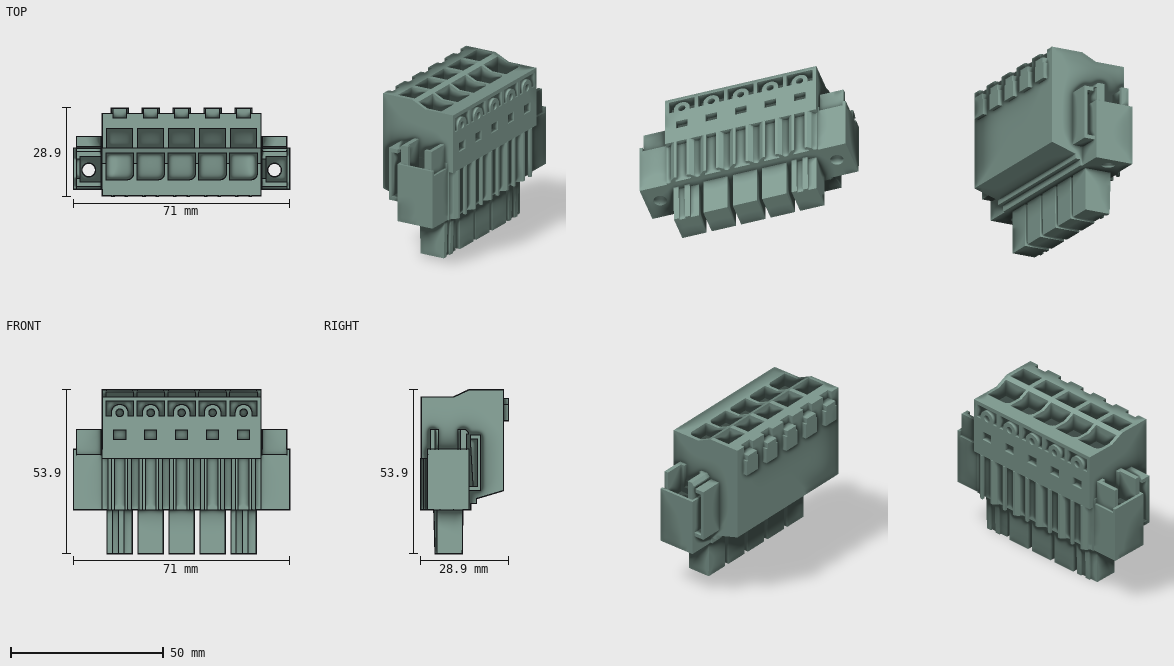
import cadquery as cq

poles = 5
pitch = 10.15
total_length = 71.05
total_depth = 28.9

skirt_bottom = 14.4
skirt_top = 31.35
front_top = 51.5
rear_top = 53.9

tab_rear = total_depth / 2
housing_rear = 12.8
housing_front = -14.3
rib_front = -total_depth / 2
slope_rear = 1.4
slope_front = -3.7

housing_length = 52.15
housing_end = housing_length / 2

underside_rear_z = 20.75
underside_front_y = 3.9
underside_front_z = 18.1
step_z = 16.5
skirt_rear = 2.05

wire_entry_width = 8.5
wire_entry_rear = 7.8
wire_entry_depth = 10.65
screw_pocket_width = 9.1
screw_pocket_rear = -0.2
screw_pocket_front = -9.0
screw_pocket_floor = 46.8
screw_pocket_corner = 2.05

recess_width = 8.95
recess_bottom = 45.3
recess_top = 50.2
recess_depth = 3.55
boss_diameter = 5.5
boss_centre_z = 46.3
boss_hole_diameter = 2.5
boss_hole_depth = 2.85

window_width = 4.0
window_bottom = 37.5
window_top = 40.65
window_depth = 2.0

tongue_width = 4.55
tongue_front = 11.2
tongue_top = 51.0
head_width = 5.7
head_top = 49.1
tab_bottom = 43.7

slot_mouth_width = 3.55
slot_inner_width = 5.4
slot_lip = 1.0
slot_depth = 1.85
rib_width = 0.85
groove_arc_width = 2.35
groove_arc_y = -13.4
groove_floor_y = -12.5

box_rear = 1.4
box_front = -12.15
box_top = 34.4
box_outer_wall = 1.0
box_inner_wall = 0.35
box_floor = 1.0
front_wall_top = 32.6
cavity_rear = 0.6
cavity_front = -11.2
flange_hole_radius = 2.2
flange_hole_y = -5.8

frame_rear = 5.25
frame_inner = 4.2
frame_top = 39.1
frame_bar_top_z = 37.7
frame_bar_bottom_z = 22.2
frame_bottom = 20.9
frame_bar_end = 1.85
frame_web_end = 2.8
frame_web_thickness = 1.0

lug_top = 40.85
insert_floor = 30.55
insert_wall = 1.2
insert_wall_top = 32.6
latch_front = -1.35
latch_rib_front = -2.1
latch_hook_y = 1.3
latch_hook_z = 39.3
latch_chamfer_z = 39.8
latch_chamfer_y = 0.3
lug_rear = -9.8
lug_rib_rear = -8.5

finger_width = 8.4
finger_root_rear = -0.6
finger_tip_rear = -0.7
finger_front = -9.7
coded_root_front = -10.15
coding_slot_back = -9.0
coding_slots = ((-2.4, -0.35), (1.4, finger_width / 2))

pole_positions = [(i - (poles - 1) / 2) * pitch for i in range(poles)]
groove_positions = [(i - poles / 2) * pitch for i in range(poles + 1)]
cavity_outer = total_length / 2 - box_outer_wall
cavity_inner = housing_end + box_inner_wall
cavity_centre = (cavity_outer + cavity_inner) / 2


def block(x0, x1, y0, y1, z0, z1):
    """Box between two opposite corners."""
    return cq.Workplane("XY").box(x1 - x0, y1 - y0, z1 - z0, centered=False).translate((x0, y0, z0))


def centred_block(x, width, y0, y1, z0, z1):
    """Box of a given X width, centred on x."""
    return block(x - width / 2, x + width / 2, y0, y1, z0, z1)


def side_prism(points, x0, x1):
    """Prism with a (y, z) outline, running from x0 to x1."""
    return cq.Workplane("YZ").polyline(points).close().extrude(x1 - x0).translate((x0, 0, 0))


def housing_shell():
    outline = [
        (housing_front, skirt_top),
        (housing_front, front_top),
        (slope_front, front_top),
        (slope_rear, rear_top),
        (housing_rear, rear_top),
        (housing_rear, underside_rear_z),
        (underside_front_y, underside_front_z),
        (underside_front_y, step_z),
        (skirt_rear, step_z),
        (skirt_rear, skirt_bottom),
        (rib_front, skirt_bottom),
        (rib_front, skirt_top),
    ]
    return side_prism(outline, -housing_end, housing_end)


def skirt_slot(x):
    """T-slot up the front of the skirt, wider behind the lips of its two ribs."""
    lip_back = rib_front + slot_lip
    slot_floor = rib_front + slot_depth
    mouth = centred_block(x, slot_mouth_width, rib_front, lip_back, skirt_bottom, skirt_top)
    return mouth.union(centred_block(x, slot_inner_width, lip_back, slot_floor, skirt_bottom, skirt_top))


def skirt_groove(x):
    half_mouth = (pitch - slot_mouth_width) / 2 - rib_width
    half_arc = groove_arc_width / 2
    return (
        cq.Workplane("XY", origin=(x, 0, skirt_bottom))
        .moveTo(-half_mouth, rib_front)
        .lineTo(-half_arc, groove_arc_y)
        .threePointArc((0, groove_floor_y), (half_arc, groove_arc_y))
        .lineTo(half_mouth, rib_front)
        .close()
        .extrude(skirt_top - skirt_bottom)
    )


def wire_entry(x):
    floor = rear_top - wire_entry_depth
    return centred_block(x, wire_entry_width, slope_rear, wire_entry_rear, floor, rear_top)


def screw_pocket(x):
    pocket = centred_block(
        x, screw_pocket_width, screw_pocket_front, screw_pocket_rear, screw_pocket_floor, rear_top
    )
    return pocket.edges("|Z and >X and <Y").fillet(screw_pocket_corner)


def front_recess(x):
    recess_back = housing_front + recess_depth
    recess = centred_block(x, recess_width, housing_front, recess_back, recess_bottom, recess_top)
    legs = centred_block(x, boss_diameter, housing_front, recess_back, recess_bottom, boss_centre_z)
    boss = (
        cq.Workplane("XZ", origin=(x, housing_front, boss_centre_z))
        .circle(boss_diameter / 2)
        .extrude(-recess_depth)
    )
    return recess.cut(legs).cut(boss)


def boss_hole(x):
    return (
        cq.Workplane("XZ", origin=(x, housing_front, boss_centre_z))
        .circle(boss_hole_diameter / 2)
        .extrude(-boss_hole_depth)
    )


def window(x):
    window_back = housing_front + window_depth
    return centred_block(x, window_width, housing_front, window_back, window_bottom, window_top)


def tab_slot(x):
    return centred_block(x, tongue_width, tongue_front, housing_rear, tab_bottom, rear_top)


def finger(x, coded):
    """Tapered finger below the skirt; a coded one has a sloping front with two slots down it."""
    outline = [
        (coded_root_front if coded else finger_front, skirt_bottom),
        (finger_root_rear, skirt_bottom),
        (finger_tip_rear, 0),
        (finger_front, 0),
    ]
    body = side_prism(outline, x - finger_width / 2, x + finger_width / 2)
    if coded:
        for left, right in coding_slots:
            body = body.cut(block(x + left, x + right, coded_root_front, coding_slot_back, 0, skirt_bottom))
    return body


def end_box():
    """Open-topped box on the +X end, with a lowered front wall."""
    shell = block(housing_end, total_length / 2, box_front, box_rear, skirt_bottom, box_top)
    cavity = block(cavity_inner, cavity_outer, cavity_front, cavity_rear, skirt_bottom + box_floor, box_top)
    wall_notch = block(cavity_inner, cavity_outer, box_front, cavity_front, front_wall_top, box_top)
    hole = (
        cq.Workplane("XY", origin=(cavity_centre, flange_hole_y, skirt_bottom))
        .circle(flange_hole_radius)
        .extrude(box_floor)
    )
    return shell.cut(cavity).cut(wall_notch).cut(hole)


def rear_frame():
    """C-shaped frame behind the +X end box, closed by a web with a sloping edge on its inner side."""
    bars = [
        (box_rear, frame_bottom),
        (frame_rear, frame_bottom),
        (frame_rear, frame_top),
        (frame_bar_end, frame_top),
        (frame_bar_end, frame_bar_top_z),
        (frame_inner, frame_bar_top_z),
        (frame_inner, frame_bar_bottom_z),
        (box_rear, frame_bar_bottom_z),
    ]
    web = [
        (frame_inner, frame_bar_bottom_z),
        (frame_inner, frame_bar_top_z),
        (frame_bar_end, frame_bar_top_z),
        (frame_web_end, frame_bar_bottom_z),
    ]
    frame = side_prism(bars, cavity_inner, cavity_outer)
    return frame.union(side_prism(web, cavity_inner, cavity_inner + frame_web_thickness))


def make_housing():
    body = housing_shell()
    for feature in (tab_slot, wire_entry, screw_pocket, front_recess, boss_hole, window, skirt_slot):
        for x in pole_positions:
            body = body.cut(feature(x))
    for x in groove_positions:
        body = body.cut(skirt_groove(x))
    for x in pole_positions:
        body = body.union(finger(x, coded=x in (pole_positions[0], pole_positions[-1])))
    flange = end_box().union(rear_frame())
    return body.union(flange).union(flange.mirror("YZ"))


def make_latch_insert(x):
    """Insert filling an end box: a hooked latch and a plain lug above a bored floor."""
    left = x - (cavity_outer - cavity_inner) / 2
    right = x + (cavity_outer - cavity_inner) / 2
    wall = left + insert_wall
    bottom = skirt_bottom + box_floor
    latch = [
        (cavity_rear, insert_floor),
        (cavity_rear, latch_hook_z),
        (latch_hook_y, latch_hook_z),
        (latch_hook_y, latch_chamfer_z),
        (latch_chamfer_y, lug_top),
        (latch_front, lug_top),
        (latch_front, insert_floor),
    ]
    base = block(left, right, cavity_front, cavity_rear, bottom, insert_floor)
    side_wall = block(left, wall, cavity_front, cavity_rear, insert_floor, insert_wall_top)
    latch_rib = block(left, wall, latch_rib_front, latch_front, insert_floor, lug_top)
    lug = block(left, right, cavity_front, lug_rear, insert_floor, lug_top)
    lug_rib = block(left, wall, lug_rear, lug_rib_rear, insert_floor, lug_top)
    hole = (
        cq.Workplane("XY", origin=(x, flange_hole_y, bottom))
        .circle(flange_hole_radius)
        .extrude(insert_floor - bottom)
    )
    insert = base.union(side_wall).union(side_prism(latch, left, right))
    return insert.union(latch_rib).union(lug).union(lug_rib).cut(hole)


def make_rear_tab(x):
    tongue = centred_block(x, tongue_width, tongue_front, tab_rear, tab_bottom, tongue_top)
    head = centred_block(x, head_width, housing_rear, tab_rear, tab_bottom, head_top)
    return tongue.union(head)


housing = make_housing()
latch_inserts = [make_latch_insert(x) for x in (-cavity_centre, cavity_centre)]
rear_tabs = [make_rear_tab(x) for x in pole_positions]

result = cq.Compound.makeCompound([body.val() for body in (housing, *latch_inserts, *rear_tabs)])